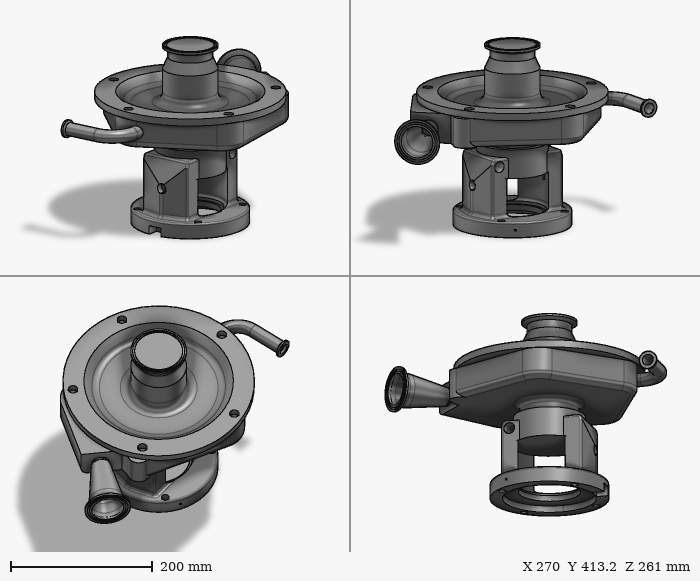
import cadquery as cq
import math

BASE_TOP = 22.5
BASE_LEDGE_Z = 17.8
BASE_RECESS_Z = 9.5
COLLAR_BOTTOM = 78.0
LEG_TOP = 108.2
COLLAR_TOP = 119.8
CASING_BOTTOM = 139.0
COVER_BOTTOM = 182.0
COVER_TOP = 192.5
INLET_CONE_BOTTOM = 226.8
INLET_CONE_TOP = 243.3
INLET_TOP = 261.0

BASE_RADIUS = 84.0
BASE_EDGE_ROUND = 2.5
BASE_OPENING_RADIUS = 48.0
BASE_LEDGE_RADIUS = 43.8
BASE_RECESS_RADIUS = 66.0
BASE_BOLT_CIRCLE = 75.0
BASE_BOLT_RADIUS = 5.15
BASE_BOLT_COUNT = 4
NOTCH_WIDTH = 20.5
NOTCH_HEIGHT = 13.0
NOTCH_ROUND = 2.5
RIM_PIN_SIZE = 2.0
RIM_PIN_Y = 42.0
RIM_PIN_Z = 11.0
RIM_PIN_FLOOR_X = -68.0

LEG_HALF_WIDTH = 39.2
LEG_EDGE_Y = 59.0
LEG_RIDGE_Y = 68.5
LEG_RIDGE_HALF_WIDTH = 3.5
LEG_EDGE_ROUND = 3.5
LEG_FOOT_ROUND = 5.8
LEG_BORE_RADIUS = 52.5
SLOPE_TOP_Z = 102.5
SLOPE_BOTTOM_Z = 71.0
LEG_HOLE_RADIUS = 7.23
LEG_HOLE_Z = 65.3
LEG_HOLE_FLOOR_Y = 58.0
LEG_SLIT_WIDTH = 3.7
CROSS_HOLE_RADIUS = 8.0
CROSS_HOLE_Y = 47.5
CROSS_HOLE_Z = 96.5

COLLAR_RADIUS = 51.0
NECK_RADIUS = 41.7
NECK_FLARE = 9.0

SIDE_DISTANCE = 115.0
CORNER_ROUND = 35.5
FIRST_BOLT_ANGLE = 45
SECTOR = 72
CASING_BOTTOM_ROUND = 10.0
DISCHARGE_CORNER = (10.0, 165.2)
DISCHARGE_FACE_LENGTH = 58.2
VOLUTE_NORMAL_ANGLE = 55
TONGUE_START_Y = 116.5
TONGUE_CREST = (-60.0, 129.3)
TONGUE_END = (-44.5, 128.0)

COVER_RADIUS = 135.0
COVER_BOLT_CIRCLE = 122.0
COVER_BOLT_RADIUS = 6.5
COVER_BOLT_COUNT = 5
BOWL_RADIUS = 105.5
BOWL_CHAMFER = 11.0
BOWL_ROUND = 15.0

INLET_RADIUS = 39.2
INLET_NECK_RADIUS = 32.0
INLET_RIM_RADIUS = 39.2
INLET_RIM_THICKNESS = 3.5
INLET_RIM_TAPER = 3.5
INLET_GROOVE_INNER = 34.0
INLET_GROOVE_OUTER = 36.8
INLET_GROOVE_DEPTH = 1.2

NOZZLE_ANGLE = 135
NOZZLE_OFFSET = 96.5
NOZZLE_Z = 159.5
NOZZLE_FACE = 109.5
NOZZLE_CONE_START = 114.0
NOZZLE_CONE_END = 176.5
NOZZLE_END = 194.0
NOZZLE_STUB_RADIUS = 12.0
NOZZLE_SMALL_RADIUS = 13.5
NOZZLE_LARGE_RADIUS = 24.5
NOZZLE_RIM_RADIUS = 32.2
NOZZLE_RIM_THICKNESS = 3.0
NOZZLE_RIM_TAPER = 2.0
NOZZLE_GROOVE_INNER = 26.0
NOZZLE_GROOVE_OUTER = 29.0
NOZZLE_GROOVE_DEPTH = 1.2
NOZZLE_THROAT_START = 167.0
NOZZLE_THROAT_END = 182.5
NOZZLE_THROAT_RADIUS = 20.5
WALL = 1.5

PIPE_RADIUS = 9.5
PIPE_Z = 163.0
PIPE_BEND_RADIUS = 35.5
PIPE_RUN_Y = -172.0
PIPE_END_X = -89.5
PIPE_START_Y = -107.5
PIPE_RIM_RADIUS = 13.0
PIPE_RIM_THICKNESS = 3.0
PIPE_RIM_TAPER = 2.0

MARGIN = 4.0
SELECT_GAP = 0.5


def polar(radius, angle):
    a = math.radians(angle)
    return (radius * math.cos(a), radius * math.sin(a))


def disc(radius, bottom, top):
    return cq.Workplane("XY").workplane(offset=bottom).circle(radius).extrude(top - bottom)


def revolved(profile):
    """Turn a closed (radius, height) profile about the Z axis."""
    return cq.Workplane("XZ").polyline(profile).close().revolve(360, (0, 0), (0, 1))


def ring(inner, outer, bottom, top):
    return disc(outer, bottom, top).cut(disc(inner, bottom, top))


def line_crossing(angle_a, distance_a, angle_b, distance_b):
    """Crossing of two lines, each given by its normal angle and distance from the axis."""
    ax, ay = polar(1, angle_a)
    bx, by = polar(1, angle_b)
    det = ax * by - ay * bx
    return ((distance_a * by - ay * distance_b) / det, (ax * distance_b - distance_a * bx) / det)


def make_bracket():
    """Base ring with two ridged legs; one bore runs up between the legs."""
    base = disc(BASE_RADIUS, 0, BASE_TOP).faces(">Z").edges().fillet(BASE_EDGE_ROUND)

    legs = (
        cq.Workplane("XY")
        .moveTo(LEG_HALF_WIDTH, -LEG_EDGE_Y)
        .lineTo(LEG_HALF_WIDTH, LEG_EDGE_Y)
        .lineTo(LEG_RIDGE_HALF_WIDTH, LEG_RIDGE_Y)
        .lineTo(-LEG_RIDGE_HALF_WIDTH, LEG_RIDGE_Y)
        .lineTo(-LEG_HALF_WIDTH, LEG_EDGE_Y)
        .lineTo(-LEG_HALF_WIDTH, -LEG_EDGE_Y)
        .lineTo(-LEG_RIDGE_HALF_WIDTH, -LEG_RIDGE_Y)
        .lineTo(LEG_RIDGE_HALF_WIDTH, -LEG_RIDGE_Y)
        .close()
        .extrude(LEG_TOP)
    )
    slope_run = (LEG_RIDGE_Y - LEG_EDGE_Y) / (SLOPE_TOP_Z - SLOPE_BOTTOM_Z)
    slope_end_y = LEG_EDGE_Y - slope_run * (LEG_TOP - SLOPE_TOP_Z)
    envelope = (
        cq.Workplane("YZ")
        .polyline([
            (-LEG_RIDGE_Y, 0),
            (LEG_RIDGE_Y, 0),
            (LEG_RIDGE_Y, SLOPE_BOTTOM_Z),
            (slope_end_y, LEG_TOP),
            (-slope_end_y, LEG_TOP),
            (-LEG_RIDGE_Y, SLOPE_BOTTOM_Z),
        ])
        .close()
        .extrude(LEG_HALF_WIDTH, both=True)
    )
    legs = legs.intersect(envelope)
    legs = legs.faces("<X or >X or >Z").edges("not <Z").fillet(LEG_EDGE_ROUND)

    bracket = base.union(legs)
    foot = cq.selectors.BoxSelector(
        (-LEG_HALF_WIDTH - MARGIN, -LEG_RIDGE_Y - MARGIN, BASE_TOP - SELECT_GAP),
        (LEG_HALF_WIDTH + MARGIN, LEG_RIDGE_Y + MARGIN, BASE_TOP + SELECT_GAP),
        boundingbox=True,
    )
    bracket = bracket.edges(foot).fillet(LEG_FOOT_ROUND)

    foot_step = LEG_BORE_RADIUS - BASE_OPENING_RADIUS
    bore = (
        cq.Workplane("XZ")
        .moveTo(0, 0)
        .lineTo(BASE_RECESS_RADIUS, 0)
        .lineTo(BASE_RECESS_RADIUS, BASE_RECESS_Z)
        .lineTo(BASE_LEDGE_RADIUS, BASE_RECESS_Z)
        .lineTo(BASE_LEDGE_RADIUS, BASE_LEDGE_Z)
        .lineTo(BASE_OPENING_RADIUS, BASE_LEDGE_Z)
        .lineTo(BASE_OPENING_RADIUS, BASE_TOP)
        .radiusArc((LEG_BORE_RADIUS, BASE_TOP + foot_step), -foot_step)
        .lineTo(LEG_BORE_RADIUS, COLLAR_BOTTOM)
        .lineTo(0, COLLAR_BOTTOM)
        .close()
        .revolve(360, (0, 0), (0, 1))
    )
    bracket = bracket.cut(bore)

    bolts = (
        cq.Workplane("XY")
        .polarArray(BASE_BOLT_CIRCLE, 360 / BASE_BOLT_COUNT / 2, 360, BASE_BOLT_COUNT)
        .circle(BASE_BOLT_RADIUS)
        .extrude(BASE_TOP + MARGIN)
    )
    notch_length = BASE_RADIUS - BASE_RECESS_RADIUS + MARGIN
    notch = (
        cq.Workplane("XY")
        .box(NOTCH_WIDTH, notch_length, NOTCH_HEIGHT, centered=(True, False, False))
        .edges("|Y and >Z")
        .fillet(NOTCH_ROUND)
        .translate((0, -BASE_RADIUS - MARGIN, 0))
    )
    rim_pin_hole = (
        cq.Workplane("YZ", origin=(RIM_PIN_FLOOR_X, RIM_PIN_Y, RIM_PIN_Z))
        .rect(RIM_PIN_SIZE, RIM_PIN_SIZE)
        .extrude(-BASE_RADIUS)
    )
    return bracket.cut(bolts).cut(notch).cut(rim_pin_hole)


def cut_leg_holes(body):
    """Round pocket and narrow slit in each leg, plus a cross hole in the rear leg."""
    for direction in (-1, 1):
        pocket = (
            cq.Workplane("XZ", origin=(0, direction * LEG_HOLE_FLOOR_Y, LEG_HOLE_Z))
            .circle(LEG_HOLE_RADIUS)
            .extrude(-direction * LEG_RIDGE_Y)
        )
        body = body.cut(pocket)
    slit = cq.Workplane("XY").box(LEG_SLIT_WIDTH, 2 * BASE_RADIUS, 2 * LEG_HOLE_RADIUS)
    slit = slit.translate((0, 0, LEG_HOLE_Z))
    cross_hole = (
        cq.Workplane("YZ")
        .center(CROSS_HOLE_Y, CROSS_HOLE_Z)
        .circle(CROSS_HOLE_RADIUS)
        .extrude(COLLAR_RADIUS, both=True)
    )
    return body.cut(slit).cut(cross_hole)


def make_neck():
    """Collar and the neck that flares into the casing floor."""
    collar = disc(COLLAR_RADIUS, COLLAR_BOTTOM, COLLAR_TOP)
    neck = (
        cq.Workplane("XZ")
        .moveTo(0, COLLAR_TOP)
        .lineTo(NECK_RADIUS, COLLAR_TOP)
        .lineTo(NECK_RADIUS, CASING_BOTTOM - NECK_FLARE)
        .radiusArc((NECK_RADIUS + NECK_FLARE, CASING_BOTTOM), NECK_FLARE)
        .lineTo(0, CASING_BOTTOM)
        .close()
        .revolve(360, (0, 0), (0, 1))
    )
    return collar.union(neck)


def make_casing():
    """Rounded pentagon body that opens into the discharge block at +Y."""
    side_angles = [FIRST_BOLT_ANGLE - SECTOR / 2 - k * SECTOR for k in range(4)]
    dx, dy = DISCHARGE_CORNER
    nx, ny = polar(1, VOLUTE_NORMAL_ANGLE)
    volute_distance = dx * nx + dy * ny
    corners = [line_crossing(VOLUTE_NORMAL_ANGLE, volute_distance, side_angles[0], SIDE_DISTANCE)]
    for first, second in zip(side_angles, side_angles[1:]):
        corners.append(line_crossing(first, SIDE_DISTANCE, second, SIDE_DISTANCE))

    tx, ty = polar(1, side_angles[-1])
    tongue_start = ((SIDE_DISTANCE - TONGUE_START_Y * ty) / tx, TONGUE_START_Y)
    fx, fy = polar(DISCHARGE_FACE_LENGTH, NOZZLE_ANGLE + 90)
    face_end = (dx + fx, dy + fy)

    outline = cq.Workplane("XY").workplane(offset=CASING_BOTTOM).moveTo(*DISCHARGE_CORNER)
    for corner in corners:
        outline = outline.lineTo(*corner)
    body = (
        outline.lineTo(*tongue_start)
        .threePointArc(TONGUE_CREST, TONGUE_END)
        .lineTo(*face_end)
        .close()
        .extrude(COVER_BOTTOM - CASING_BOTTOM)
    )
    for x, y in corners:
        middle = (x, y, (CASING_BOTTOM + COVER_BOTTOM) / 2)
        body = body.edges(cq.selectors.NearestToPointSelector(middle)).fillet(CORNER_ROUND)

    floor_edge = cq.selectors.BoxSelector(
        (-COVER_RADIUS - MARGIN, -COVER_RADIUS - MARGIN, CASING_BOTTOM - SELECT_GAP),
        (COVER_RADIUS + MARGIN, TONGUE_START_Y + SELECT_GAP, CASING_BOTTOM + SELECT_GAP),
        boundingbox=True,
    )
    return body.edges(floor_edge).fillet(CASING_BOTTOM_ROUND)


def make_cover():
    """Flat bolted flange that closes the casing."""
    cover = disc(COVER_RADIUS, COVER_BOTTOM, COVER_TOP)
    bolts = (
        cq.Workplane("XY")
        .workplane(offset=COVER_BOTTOM)
        .polarArray(COVER_BOLT_CIRCLE, FIRST_BOLT_ANGLE, 360, COVER_BOLT_COUNT)
        .circle(COVER_BOLT_RADIUS)
        .extrude(COVER_TOP - COVER_BOTTOM)
    )
    return cover.cut(bolts)


def make_bowl():
    """Dish removed from the cover: chamfered mouth, rounded floor, flared stub foot."""
    slope_radius = BOWL_RADIUS - BOWL_CHAMFER
    slope_z = COVER_TOP - BOWL_CHAMFER
    half = math.sqrt(0.5)
    floor_radius = slope_radius - BOWL_ROUND * half
    floor_z = slope_z - BOWL_ROUND * (1 - half)
    return (
        cq.Workplane("XZ")
        .moveTo(INLET_RADIUS, COVER_TOP)
        .lineTo(BOWL_RADIUS, COVER_TOP)
        .lineTo(slope_radius, slope_z)
        .radiusArc((floor_radius, floor_z), BOWL_ROUND)
        .lineTo(INLET_RADIUS + BOWL_ROUND, floor_z)
        .radiusArc((INLET_RADIUS, floor_z + BOWL_ROUND), BOWL_ROUND)
        .close()
        .revolve(360, (0, 0), (0, 1))
    )


def make_inlet():
    """Capped inlet stub with a clamp rim and a shallow gasket groove."""
    rim_bottom = INLET_TOP - INLET_RIM_THICKNESS
    stub = revolved([
        (0, COVER_BOTTOM),
        (INLET_RADIUS, COVER_BOTTOM),
        (INLET_RADIUS, INLET_CONE_BOTTOM),
        (INLET_NECK_RADIUS, INLET_CONE_TOP),
        (INLET_NECK_RADIUS, rim_bottom - INLET_RIM_TAPER),
        (INLET_RIM_RADIUS, rim_bottom),
        (INLET_RIM_RADIUS, INLET_TOP),
        (0, INLET_TOP),
    ])
    groove_floor = INLET_TOP - INLET_GROOVE_DEPTH
    return stub.cut(ring(INLET_GROOVE_INNER, INLET_GROOVE_OUTER, groove_floor, INLET_TOP))


def along_nozzle(body):
    """Carry a body built on the Z axis onto the discharge axis."""
    ox, oy = polar(NOZZLE_OFFSET, NOZZLE_ANGLE - 90)
    body = body.rotate((0, 0, 0), (0, 1, 0), 90)
    return body.rotate((0, 0, 0), (0, 0, 1), NOZZLE_ANGLE).translate((ox, oy, NOZZLE_Z))


def make_nozzle():
    """Discharge cone that widens to a clamp rim with a gasket groove."""
    rim_back = NOZZLE_END - NOZZLE_RIM_THICKNESS
    outer = revolved([
        (0, NOZZLE_FACE - MARGIN),
        (NOZZLE_STUB_RADIUS, NOZZLE_FACE - MARGIN),
        (NOZZLE_STUB_RADIUS, NOZZLE_CONE_START),
        (NOZZLE_SMALL_RADIUS, NOZZLE_CONE_START),
        (NOZZLE_LARGE_RADIUS, NOZZLE_CONE_END),
        (NOZZLE_LARGE_RADIUS, rim_back - NOZZLE_RIM_TAPER),
        (NOZZLE_RIM_RADIUS, rim_back),
        (NOZZLE_RIM_RADIUS, NOZZLE_END),
        (0, NOZZLE_END),
    ])
    groove_floor = NOZZLE_END - NOZZLE_GROOVE_DEPTH
    groove = ring(NOZZLE_GROOVE_INNER, NOZZLE_GROOVE_OUTER, groove_floor, NOZZLE_END)
    return along_nozzle(outer.cut(groove))


def make_nozzle_bore():
    return along_nozzle(revolved([
        (0, NOZZLE_FACE),
        (NOZZLE_STUB_RADIUS - WALL, NOZZLE_FACE),
        (NOZZLE_STUB_RADIUS - WALL, NOZZLE_CONE_START),
        (NOZZLE_THROAT_RADIUS, NOZZLE_THROAT_START),
        (NOZZLE_LARGE_RADIUS - WALL, NOZZLE_THROAT_END),
        (NOZZLE_LARGE_RADIUS - WALL, NOZZLE_END),
        (0, NOZZLE_END),
    ]))


def pipe_sweep(radius, start_y):
    """Round rod from under the cover, bending a quarter turn toward -X."""
    bend_y = PIPE_RUN_Y + PIPE_BEND_RADIUS
    path = (
        cq.Workplane("XY", origin=(0, 0, PIPE_Z))
        .moveTo(0, start_y)
        .lineTo(0, bend_y)
        .radiusArc((-PIPE_BEND_RADIUS, PIPE_RUN_Y), PIPE_BEND_RADIUS)
        .lineTo(PIPE_END_X, PIPE_RUN_Y)
    )
    return cq.Workplane("XZ", origin=(0, start_y, PIPE_Z)).circle(radius).sweep(path)


def make_pipe():
    """Drain pipe with a clamp rim at its open end."""
    rim = revolved([
        (0, 0),
        (PIPE_RIM_RADIUS, 0),
        (PIPE_RIM_RADIUS, PIPE_RIM_THICKNESS),
        (PIPE_RADIUS, PIPE_RIM_THICKNESS + PIPE_RIM_TAPER),
        (0, PIPE_RIM_THICKNESS + PIPE_RIM_TAPER),
    ])
    rim = rim.rotate((0, 0, 0), (0, 1, 0), 90).translate((PIPE_END_X, PIPE_RUN_Y, PIPE_Z))
    return pipe_sweep(PIPE_RADIUS, PIPE_START_Y).union(rim)


bracket = cut_leg_holes(make_bracket().union(make_neck()))
head = make_casing().union(make_cover()).union(make_inlet()).cut(make_bowl())
nozzle_and_pipe = make_nozzle().union(make_pipe())
bores = make_nozzle_bore().union(pipe_sweep(PIPE_RADIUS - WALL, PIPE_START_Y - PIPE_RADIUS))
result = bracket.union(head).union(nozzle_and_pipe).cut(bores)